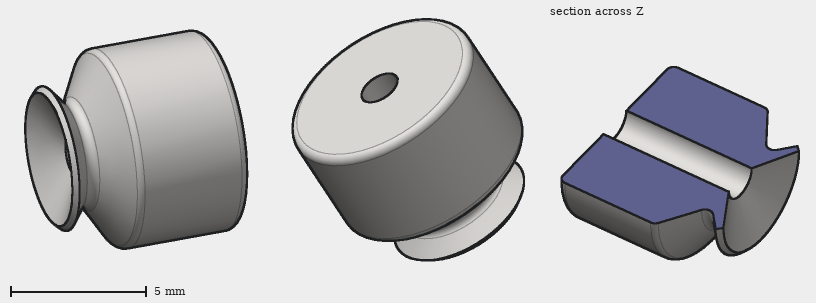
import cadquery as cq
import math

length = 6.5
body_radius = 3.75
edge_radius = 0.3

mouth_radius = 2.5
lip_radius = 2.71
lip_edge_y = 0.21

neck_radius = 2.0
neck_y = 0.96

shoulder_angle = math.radians(57.4)
shoulder_corner_y = 2.23

cup_depth = 0.93
bore_radius = 0.75


def arc_point(center, angle):
    """Point (radius, y) on a rounding arc; angle 0 points outward from the axis."""
    radius, y = center
    return (radius + edge_radius * math.cos(angle), y + edge_radius * math.sin(angle))


def lip_cone_angle(neck_center):
    """Angle from the axis of the cone that runs from the lip edge tangent to the neck arc."""
    radial_run = neck_center[0] - lip_radius
    axial_run = neck_center[1] - lip_edge_y
    line_to_center = math.atan2(-radial_run, axial_run)
    tangent_offset = math.asin(edge_radius / math.hypot(radial_run, axial_run))
    return line_to_center + tangent_offset


def turned_blank():
    """Lip, neck, shoulder and body, without the hollow."""
    neck_center = (neck_radius + edge_radius, neck_y)
    lip_angle = lip_cone_angle(neck_center)
    shoulder_center = (
        body_radius - edge_radius,
        shoulder_corner_y + edge_radius * math.tan(shoulder_angle / 2),
    )
    back_center = (body_radius - edge_radius, length - edge_radius)

    profile = (
        cq.Workplane("XY")
        .lineTo(mouth_radius, 0)
        .lineTo(lip_radius, lip_edge_y)
        .lineTo(*arc_point(neck_center, math.pi + lip_angle))
        .threePointArc(
            arc_point(neck_center, math.pi),
            arc_point(neck_center, math.pi - shoulder_angle),
        )
        .lineTo(*arc_point(shoulder_center, -shoulder_angle))
        .threePointArc(arc_point(shoulder_center, -shoulder_angle / 2), arc_point(shoulder_center, 0))
        .lineTo(*arc_point(back_center, 0))
        .threePointArc(arc_point(back_center, math.pi / 4), arc_point(back_center, math.pi / 2))
        .lineTo(0, length)
        .close()
    )
    return profile.revolve(360, (0, 0), (0, 1))


def cup_and_bore():
    """Conical cup at the mouth, running into a bore that passes through to the back."""
    outline = [
        (0, 0),
        (mouth_radius, 0),
        (bore_radius, cup_depth),
        (bore_radius, length),
        (0, length),
    ]
    return cq.Workplane("XY").polyline(outline).close().revolve(360, (0, 0), (0, 1))


result = turned_blank().cut(cup_and_bore())